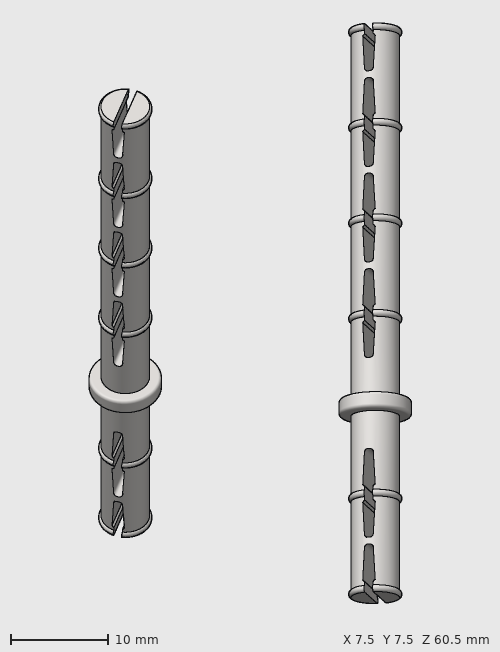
import cadquery as cq
import math

length = 60.5
body_diameter = 5.0
body_radius = body_diameter / 2

bead_radius = 0.395
bead_centre_radius = 2.35
ring_pitch = 10.15
upper_ring_count = 4
lower_ring_count = 2

end_ring_offset = math.sqrt(bead_radius**2 - (body_radius - bead_centre_radius) ** 2)

flange_radius = 3.75
flange_thickness = 1.75
flange_centre_z = 20.15
flange_edge = 0.35

slot_length = 9.45
slot_end_width = 0.9
slot_wide_width = 1.35
slot_throat_width = 0.9
slot_corner_radius = 0.395
throat_half_height = 0.7
shoulder_half_height = 0.95

lower_rings = [end_ring_offset + i * ring_pitch for i in range(lower_ring_count)]
upper_rings = [length - end_ring_offset - i * ring_pitch for i in range(upper_ring_count)]
ring_heights = lower_rings + upper_rings


def make_rod():
    """Plain rod standing on the origin."""
    return cq.Workplane("XY").circle(body_radius).extrude(length)


def make_ring(z):
    """Rounded bead around the rod at height z, trimmed where it sinks into the rod surface."""
    section = (
        cq.Workplane("XZ")
        .moveTo(0, z - end_ring_offset)
        .lineTo(body_radius, z - end_ring_offset)
        .threePointArc((bead_centre_radius + bead_radius, z), (body_radius, z + end_ring_offset))
        .lineTo(0, z + end_ring_offset)
        .close()
    )
    return section.revolve(360, (0, 0, 0), (0, 1, 0))


def make_flange():
    """Stop collar with rounded rims."""
    base_z = flange_centre_z - flange_thickness / 2
    flange = cq.Workplane("XY", origin=(0, 0, base_z)).circle(flange_radius).extrude(flange_thickness)
    return flange.edges().fillet(flange_edge)


def make_slot(z):
    """Slot that narrows towards its rounded tips and has a narrow throat at the ring."""
    end = slot_end_width / 2
    wide = slot_wide_width / 2
    throat = slot_throat_width / 2
    tip = slot_length / 2
    right_side = [
        (end, -tip),
        (wide, -shoulder_half_height),
        (throat, -throat_half_height),
        (throat, throat_half_height),
        (wide, shoulder_half_height),
        (end, tip),
    ]
    left_side = [(-x, height) for x, height in reversed(right_side)]
    slot = (
        cq.Workplane("XZ", origin=(0, 0, z))
        .polyline(right_side + left_side)
        .close()
        .extrude(flange_radius, both=True)
    )
    return slot.faces("<Z or >Z").edges("|Y").fillet(slot_corner_radius)


result = make_rod().union(make_flange())
for ring_z in ring_heights:
    result = result.union(make_ring(ring_z))
for ring_z in ring_heights:
    result = result.cut(make_slot(ring_z))